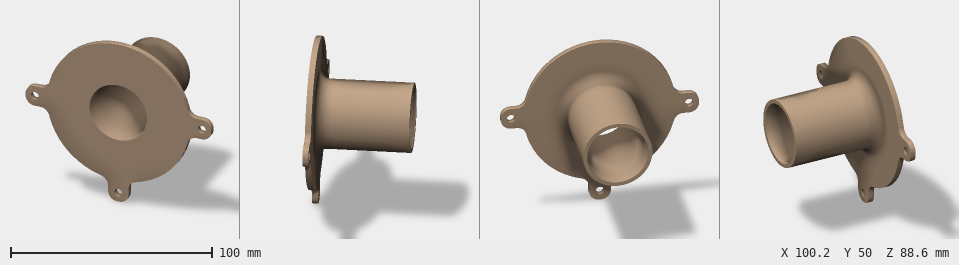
import cadquery as cq
import math

overall_width = 100.2
overall_depth = 50.0
plate_thickness = 3.0
disc_radius = 38.5
tube_diameter = 35.0
bore_diameter = 31.0
flare_radius = 5.0

ear_reach = overall_width / 2
ear_width = 11.0
ear_corner_radius = 5.0
ear_root_radius = 5.0
ear_hole_diameter = 4.2
ear_hole_offset = 45.1
ear_angles = (0, 180, 270)


def extrude_back(profile, depth):
    """Extrude an XZ-plane profile from the front face towards +Y."""
    return profile.extrude(-depth)


def make_ear(angle):
    """Radial ear with rounded outer corners, starting at the disc centre."""
    profile = cq.Workplane("XZ").center(ear_reach / 2, 0).rect(ear_reach, ear_width)
    ear = extrude_back(profile, plate_thickness)
    ear = ear.edges("|Y and >X").fillet(ear_corner_radius)
    return ear.rotate((0, 0, 0), (0, -1, 0), angle)


def make_plate():
    """Round flange with three ears blended into its rim."""
    plate = extrude_back(cq.Workplane("XZ").circle(disc_radius), plate_thickness)
    for angle in ear_angles:
        plate = plate.union(make_ear(angle))

    root_half_angle = math.degrees(math.asin(ear_width / 2 / disc_radius))
    for angle in ear_angles:
        for root_angle in (angle - root_half_angle, angle + root_half_angle):
            turn = math.radians(root_angle)
            root = (disc_radius * math.cos(turn), plate_thickness / 2, disc_radius * math.sin(turn))
            root_edge = cq.selectors.NearestToPointSelector(root)
            plate = plate.edges("|Y").edges(root_edge).fillet(ear_root_radius)
    return plate


def make_tube():
    """Tube behind the plate with a concave flare at its foot."""
    tube_radius = tube_diameter / 2
    flare_top = plate_thickness + flare_radius
    flare_middle = flare_radius * (1 - math.sqrt(0.5))
    return (
        cq.Workplane("XY")
        .lineTo(tube_radius + flare_radius, 0)
        .lineTo(tube_radius + flare_radius, plate_thickness)
        .threePointArc(
            (tube_radius + flare_middle, plate_thickness + flare_middle),
            (tube_radius, flare_top),
        )
        .lineTo(tube_radius, overall_depth)
        .lineTo(0, overall_depth)
        .close()
        .revolve(360, (0, 0, 0), (0, 1, 0))
    )


def make_ear_hole(angle):
    """Through-hole cutter for one ear."""
    profile = cq.Workplane("XZ").center(ear_hole_offset, 0).circle(ear_hole_diameter / 2)
    return extrude_back(profile, plate_thickness).rotate((0, 0, 0), (0, -1, 0), angle)


bore = extrude_back(cq.Workplane("XZ").circle(bore_diameter / 2), overall_depth)

result = make_plate().union(make_tube()).cut(bore)
for ear_angle in ear_angles:
    result = result.cut(make_ear_hole(ear_angle))